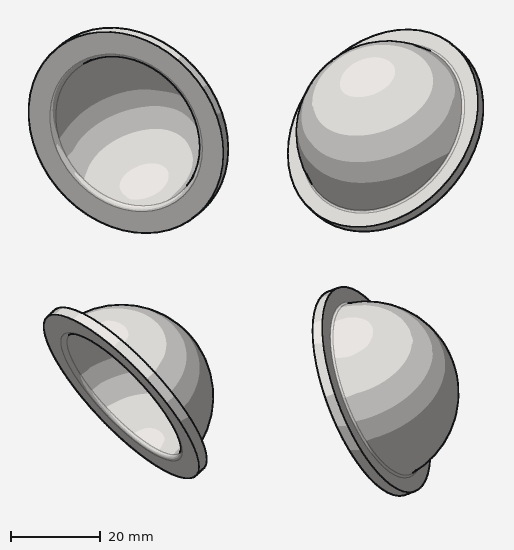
import cadquery as cq
import math

flange_diameter = 48.5
flange_thickness = 2.5
dome_outer_radius = 20.5
dome_wall = 2.5
mouth_round = 1.0
root_fillet = 0.5

flange_radius = flange_diameter / 2
dome_inner_radius = dome_outer_radius - dome_wall
sin_45 = math.sin(math.radians(45))


def on_circle(center, radius, direction):
    """Point on a circle, in the given (unnormalised) direction from its centre."""
    length = math.hypot(*direction)
    return tuple(c + radius * d / length for c, d in zip(center, direction))


def arc_middle(center, radius, start, end):
    """Middle of the shorter arc between two points on a circle."""
    direction = [s + e - 2 * c for s, e, c in zip(start, end, center)]
    return on_circle(center, radius, direction)


def revolved_cap():
    """Flanged dome, revolved from its half section (radius, Y) about the Y axis."""
    dome_center = (0, 0)

    root_y = flange_thickness + root_fillet
    root_r = math.sqrt((dome_outer_radius + root_fillet) ** 2 - root_y ** 2)
    root_center = (root_r, root_y)
    root_on_flange = (root_r, flange_thickness)
    root_on_dome = on_circle(dome_center, dome_outer_radius, root_center)

    mouth_r = math.sqrt((dome_inner_radius + mouth_round) ** 2 - mouth_round ** 2)
    mouth_center = (mouth_r, mouth_round)
    mouth_on_rim = (mouth_r, 0)
    mouth_on_cavity = on_circle(dome_center, dome_inner_radius, mouth_center)

    outer_middle = (dome_outer_radius * sin_45, dome_outer_radius * sin_45)
    inner_middle = (dome_inner_radius * sin_45, dome_inner_radius * sin_45)

    section = (
        cq.Workplane("XY")
        .moveTo(*mouth_on_rim)
        .lineTo(flange_radius, 0)
        .lineTo(flange_radius, flange_thickness)
        .lineTo(*root_on_flange)
        .threePointArc(arc_middle(root_center, root_fillet, root_on_flange, root_on_dome), root_on_dome)
        .threePointArc(outer_middle, (0, dome_outer_radius))
        .lineTo(0, dome_inner_radius)
        .threePointArc(inner_middle, mouth_on_cavity)
        .threePointArc(arc_middle(mouth_center, mouth_round, mouth_on_cavity, mouth_on_rim), mouth_on_rim)
        .close()
    )
    return section.revolve(360, (0, 0, 0), (0, 1, 0))


result = revolved_cap()